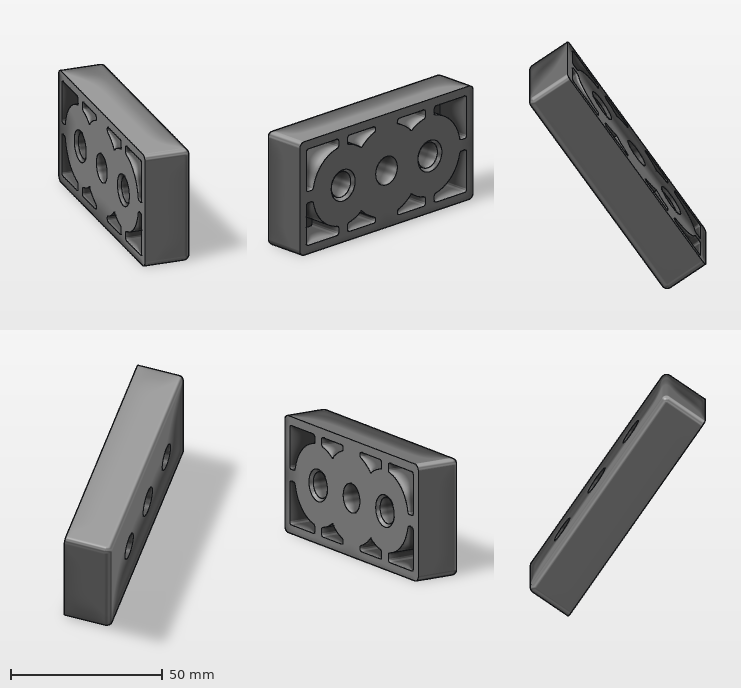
import cadquery as cq

LENGTH = 80.0
THICKNESS = 16.2
HEIGHT = 40.0
EDGE_RADIUS = 2.0

SIDE_HOLE_SPACING = 40.0
SIDE_HOLE_DIAMETER = 9.0
SIDE_HOLE_CHAMFER = 1.0
CHAMFER_ANGLE = 45
CENTRE_HOLE_DIAMETER = 10.0

POCKET_AREA_LENGTH = 74.0
POCKET_AREA_HEIGHT = 34.0
FLOOR_THICKNESS = 3.5
POCKET_CORNER_DIAMETER = 2.0

SIDE_BOSS_DIAMETER = 28.0
CENTRE_BOSS_DIAMETER = 32.0
RIB_WIDTH = 4.0
CENTRE_RIB_WIDTH = 10.0

POCKET_DEPTH = THICKNESS - FLOOR_THICKNESS
FRONT_Y = -THICKNESS / 2
SIDE_HOLE_CENTRES = [(-SIDE_HOLE_SPACING / 2, 0), (SIDE_HOLE_SPACING / 2, 0)]

TOLERANCE = 0.01


def front_plane():
    """Sketch plane on the -Y face; positive extrusion runs outward, negative into the block."""
    return cq.Workplane("XZ", origin=(0, FRONT_Y, 0))


def make_block():
    """Plain block with rounded long corners and a rounded rim on the +Y face."""
    block = cq.Workplane("XY").box(LENGTH, THICKNESS, HEIGHT)
    block = block.edges("|Y").fillet(EDGE_RADIUS)
    return block.faces(">Y").edges().fillet(EDGE_RADIUS)


def is_boss_meeting(edge):
    """True for an edge where the outlines of a side boss and the centre boss cross."""
    side_x = SIDE_HOLE_SPACING / 2
    radius_term = (CENTRE_BOSS_DIAMETER**2 - SIDE_BOSS_DIAMETER**2) / 4
    crossing_x = (side_x**2 + radius_term) / (2 * side_x)
    return abs(abs(edge.Center().x) - crossing_x) < TOLERANCE


def make_pockets():
    """Pocket volumes: the pocket area minus the bosses and ribs, with rounded corners."""
    pockets = front_plane().rect(POCKET_AREA_LENGTH, POCKET_AREA_HEIGHT).extrude(-POCKET_DEPTH)

    side_bosses = front_plane().pushPoints(SIDE_HOLE_CENTRES).circle(SIDE_BOSS_DIAMETER / 2)
    centre_boss = front_plane().circle(CENTRE_BOSS_DIAMETER / 2)
    side_ribs = front_plane().pushPoints(SIDE_HOLE_CENTRES).rect(RIB_WIDTH, HEIGHT)
    centre_rib = front_plane().rect(CENTRE_RIB_WIDTH, HEIGHT)
    long_rib = front_plane().rect(LENGTH, RIB_WIDTH)
    for outline in (side_bosses, centre_boss, side_ribs, centre_rib, long_rib):
        pockets = pockets.cut(outline.extrude(-POCKET_DEPTH))

    rounded_corners = pockets.edges("|Y").filter(lambda edge: not is_boss_meeting(edge))
    return rounded_corners.fillet(POCKET_CORNER_DIAMETER / 2)


def drill_holes(body):
    """Cut the centre hole and the two side holes, which are chamfered on the -Y face."""
    centre_hole = front_plane().circle(CENTRE_HOLE_DIAMETER / 2).extrude(-THICKNESS)
    side_holes = front_plane().pushPoints(SIDE_HOLE_CENTRES).circle(SIDE_HOLE_DIAMETER / 2)
    side_holes = side_holes.extrude(-THICKNESS)
    chamfer_radius = SIDE_HOLE_DIAMETER / 2 + SIDE_HOLE_CHAMFER
    chamfers = front_plane().pushPoints(SIDE_HOLE_CENTRES).circle(chamfer_radius)
    chamfers = chamfers.extrude(-SIDE_HOLE_CHAMFER, taper=CHAMFER_ANGLE)
    return body.cut(centre_hole).cut(side_holes).cut(chamfers)


result = drill_holes(make_block().cut(make_pockets()))